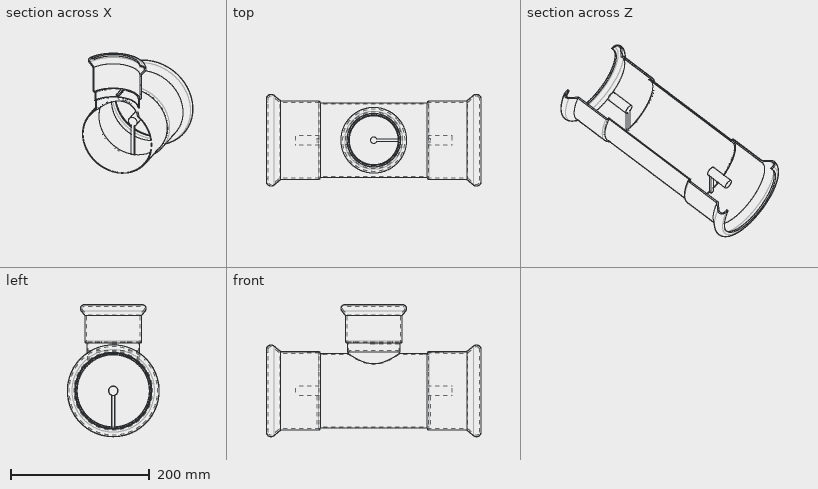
import cadquery as cq
import math

overall_length = 310.0
branch_height = 124.3
pipe_wall = 2.0
socket_wall = 2.5

run_end = dict(
    pipe_radius=54.0, socket_radius=56.7, socket_depth=77.8,
    bead_radius=6.8, bead_crest=66.3, flare_length=20.8, lip_radius=55.5,
)
run_pin_radius = 6.8
run_pin_depth = 42.0
run_web_width = 4.5

branch_end = dict(
    pipe_radius=38.0, socket_radius=41.0, socket_depth=55.5,
    bead_radius=5.5, bead_crest=47.5, flare_length=15.8, lip_radius=38.8,
)
branch_pin_radius = 4.5
branch_web_width = 3.0

neck_radius = 37.2
neck_depth = 68.2

web_thickness = 3.0


def flare_angle(end):
    """Angle from the mouth axis to the normal of the cone that is tangent to the bead."""
    axial = end["flare_length"] - end["bead_radius"]
    radial = end["socket_radius"] - (end["bead_crest"] - end["bead_radius"])
    to_corner = math.atan2(radial, axial)
    return to_corner + math.acos(end["bead_radius"] / math.hypot(axial, radial))


def bead_point(end, radius, angle):
    """Point (radius, depth) on a circle about the bead centre; angle 0 points inward along the axis."""
    bead_centre = end["bead_crest"] - end["bead_radius"]
    return (bead_centre + radius * math.sin(angle), end["bead_radius"] + radius * math.cos(angle))


def outer_solid(end, length):
    """Press socket with its pipe, filled; the mouth is at Z = 0 and depth runs along +Z."""
    bead = end["bead_radius"]
    tangent = flare_angle(end)
    step = end["socket_radius"] - end["pipe_radius"]
    shoulder = end["socket_depth"] - step
    corner = math.pi / 4
    return (
        cq.Workplane("XZ")
        .moveTo(0, 0)
        .lineTo(*bead_point(end, bead, math.pi))
        .threePointArc(bead_point(end, bead, (math.pi + tangent) / 2), bead_point(end, bead, tangent))
        .lineTo(end["socket_radius"], end["flare_length"])
        .lineTo(end["socket_radius"], shoulder)
        .threePointArc(
            (end["pipe_radius"] + step * math.cos(corner), shoulder + step * math.sin(corner)),
            (end["pipe_radius"], end["socket_depth"]),
        )
        .lineTo(end["pipe_radius"], length)
        .lineTo(0, length)
        .close()
        .revolve(360, (0, 0, 0), (0, 1, 0))
    )


def stop_depth(end):
    """Depth of the inner shoulder against which an inserted tube rests."""
    return end["socket_depth"] - pipe_wall


def bore_solid(end, length):
    """Space inside the socket and pipe, including the seal groove behind the lip."""
    groove = end["bead_radius"] - socket_wall
    tangent = flare_angle(end)
    socket_bore = end["socket_radius"] - socket_wall
    pipe_bore = end["pipe_radius"] - pipe_wall
    flare_end = end["flare_length"] - socket_wall * math.tan(math.pi / 4 - tangent / 2)
    return (
        cq.Workplane("XZ")
        .moveTo(0, 0)
        .lineTo(end["lip_radius"], 0)
        .lineTo(end["lip_radius"], socket_wall)
        .lineTo(*bead_point(end, groove, math.pi))
        .threePointArc(bead_point(end, groove, (math.pi + tangent) / 2), bead_point(end, groove, tangent))
        .lineTo(socket_bore, flare_end)
        .lineTo(socket_bore, stop_depth(end))
        .lineTo(pipe_bore, stop_depth(end))
        .lineTo(pipe_bore, length)
        .lineTo(0, length)
        .close()
        .revolve(360, (0, 0, 0), (0, 1, 0))
    )


def pin_and_web(pin_radius, pin_depth, web_width, web_start, wall_radius):
    """Pin on the axis, joined by a flat web along +X to the bore wall at wall_radius."""
    web_end = web_start + web_thickness
    web_length = wall_radius + pipe_wall / 2
    pin = cq.Workplane("XY", origin=(0, 0, pin_depth)).circle(pin_radius).extrude(web_end - pin_depth)
    web = (
        cq.Workplane("XY", origin=(0, 0, web_start))
        .center(web_length / 2, 0)
        .rect(web_length, web_width)
        .extrude(web_thickness)
    )
    return pin.union(web)


def place_left(shape):
    """Put a mouth at the -X end of the run; local +X turns to -Z."""
    return shape.rotate((0, 0, 0), (0, 1, 0), 90).translate((-overall_length / 2, 0, 0))


def place_top(shape):
    """Put a mouth on top of the branch; local +X stays +X."""
    return shape.mirror("XY").translate((0, 0, branch_height))


def both_ends(shape):
    """Add the mirror image at the +X end of the run."""
    return shape.union(shape.mirror("YZ"))


half_length = overall_length / 2

body = (
    both_ends(place_left(outer_solid(run_end, half_length)))
    .union(place_top(outer_solid(branch_end, neck_depth)))
    .union(cq.Workplane("XY").circle(neck_radius).extrude(branch_height - neck_depth))
)

bores = (
    both_ends(place_left(bore_solid(run_end, half_length)))
    .union(place_top(bore_solid(branch_end, neck_depth - pipe_wall)))
    .union(cq.Workplane("XY").circle(neck_radius - pipe_wall).extrude(branch_height - neck_depth + pipe_wall))
)

run_pin = pin_and_web(
    run_pin_radius,
    run_pin_depth,
    run_web_width,
    stop_depth(run_end) - web_thickness,
    run_end["socket_radius"] - socket_wall,
)

branch_pin = pin_and_web(
    branch_pin_radius,
    stop_depth(branch_end),
    branch_web_width,
    stop_depth(branch_end),
    branch_end["pipe_radius"] - pipe_wall,
)

result = body.cut(bores).union(both_ends(place_left(run_pin))).union(place_top(branch_pin))